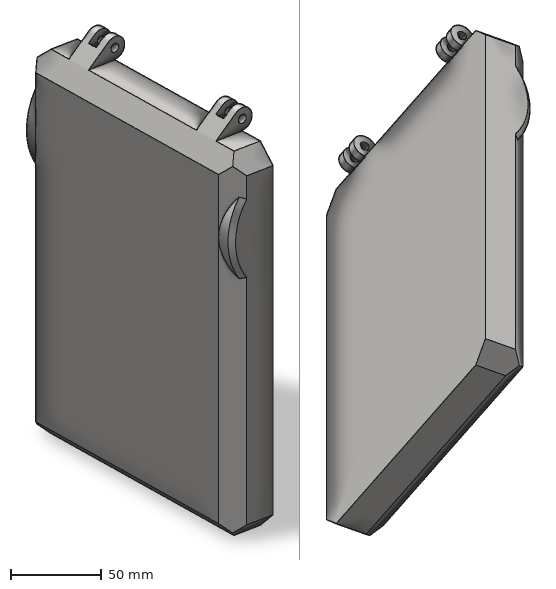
import cadquery as cq
import math

WIDTH = 180.0
HEIGHT = 240.0
THICKNESS = 30.0
BEVEL = 11.0

LUG_SPACING = 110.0
LUG_WIDTH = 17.0
LUG_RADIUS = 7.0
LUG_CLEARANCE = 0.5
PIN_DIAMETER = 5.5
SLOT_WIDTH = 6.5
SLOT_REACH = 6.0

DISC_RADIUS = 44.5
DISC_BEVEL = 3.0
DISC_HEIGHT = 190.0

PIN_Z = HEIGHT + LUG_CLEARANCE + LUG_RADIUS
TOE_Y = BEVEL - THICKNESS
TOE_DROP = PIN_Z - HEIGHT
SLOPE = math.atan2(TOE_DROP, -TOE_Y) + math.asin(LUG_RADIUS / math.hypot(TOE_Y, TOE_DROP))


def make_block():
    return cq.Workplane("XY").box(WIDTH, THICKNESS, HEIGHT).translate((0, -THICKNESS / 2, HEIGHT / 2))


def make_panel():
    """Block with bevelled front edges and its four corners cut off from front to back."""
    corner_cut = make_block().edges("|Y").chamfer(BEVEL)
    front_bevelled = make_block().faces("<Y").chamfer(BEVEL)
    return corner_cut.intersect(front_bevelled)


def profile_plane(x):
    """Side-on plane at the given X, with its origin on the hinge pin axis at Y = 0."""
    return cq.Workplane("YZ", origin=(x, 0, PIN_Z))


def make_lug_slot(x_center):
    """Room for the mating knuckle: a round clearance, opened through the lug's slope."""
    slot_start = profile_plane(x_center - SLOT_WIDTH / 2)
    clearance_radius = LUG_RADIUS + LUG_CLEARANCE
    round_clearance = slot_start.circle(clearance_radius).extrude(SLOT_WIDTH)
    opening = (
        slot_start.transformed(rotate=(0, 0, math.degrees(SLOPE)))
        .rect(-SLOT_REACH, clearance_radius, centered=False)
        .extrude(SLOT_WIDTH)
    )
    return round_clearance.union(opening)


def make_lug(x_center):
    """Knuckle whose round end runs along a tangent down to the front bevel."""
    lug_start = profile_plane(x_center - LUG_WIDTH / 2)
    tangent_point = (-LUG_RADIUS * math.sin(SLOPE), LUG_RADIUS * math.cos(SLOPE))
    body = (
        lug_start.moveTo(TOE_Y, -TOE_DROP)
        .lineTo(*tangent_point)
        .threePointArc((LUG_RADIUS, 0), (0, -LUG_RADIUS))
        .lineTo(-LUG_CLEARANCE, -LUG_RADIUS)
        .lineTo(-LUG_CLEARANCE, -TOE_DROP)
        .close()
        .extrude(LUG_WIDTH)
    )
    pin_hole = lug_start.circle(PIN_DIAMETER / 2).extrude(LUG_WIDTH)
    return body.cut(pin_hole).cut(make_lug_slot(x_center))


def make_grip_disc():
    """Front segment of the left-hand disc, flush with the panel's side face."""
    center_y = DISC_RADIUS - THICKNESS
    disc = (
        cq.Workplane("YZ", origin=(-WIDTH / 2, center_y, DISC_HEIGHT))
        .circle(DISC_RADIUS)
        .extrude(BEVEL)
        .faces("<X")
        .chamfer(DISC_BEVEL)
    )
    bevel_zone = make_block().translate((0, TOE_Y, 0))
    return disc.intersect(bevel_zone)


left_disc = make_grip_disc()
result = make_panel().union(left_disc).union(left_disc.mirror("YZ"))
for side in (-1, 1):
    result = result.union(make_lug(side * LUG_SPACING / 2))